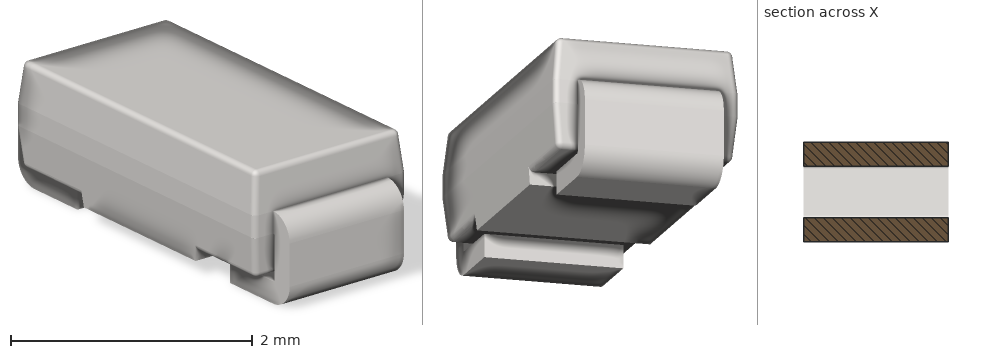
import cadquery as cq
import math

overall_length = 3.64
overall_height = 1.2

housing_length = 3.2
housing_width = 1.598
housing_bottom = 0.25
band_height = 0.2
draft_angle = 6.0
edge_radius = 0.05

pad_length = housing_width
pad_bottom = 0.145

lead_width = 1.2
lead_thickness = band_height
foot_length = 0.797

band_bottom = (overall_height + housing_bottom - band_height) / 2
band_top = band_bottom + band_height
shell_height = overall_height - band_top

bend_outer_radius = (overall_length - housing_length) / 2
bend_inner_radius = bend_outer_radius - lead_thickness

bend_midpoint = math.sqrt(0.5)


def drafted_block(length, width, start_z, height):
    """Block that narrows by the draft angle away from start_z; a negative height goes down."""
    inset = abs(height) * math.tan(math.radians(draft_angle))
    return (
        cq.Workplane("XY", origin=(0, 0, start_z))
        .rect(length, width)
        .workplane(offset=height)
        .rect(length - 2 * inset, width - 2 * inset)
        .loft(ruled=True)
    )


def make_housing():
    """Moulded housing: straight band, drafted shells above and below, and a standoff pad."""
    band = (
        cq.Workplane("XY", origin=(0, 0, band_bottom))
        .rect(housing_length, housing_width)
        .extrude(band_height)
    )
    upper_shell = drafted_block(housing_length, housing_width, band_top, shell_height)
    lower_shell = drafted_block(housing_length, housing_width, band_bottom, -shell_height)
    shells = band.union(upper_shell).union(lower_shell)

    rim_and_corners = shells.edges(">Z or <Z").add(shells.edges("not #Z"))
    rounded = rim_and_corners.fillet(edge_radius)

    pad = drafted_block(pad_length, housing_width, band_bottom, pad_bottom - band_bottom)
    return rounded.union(pad)


def make_lead(side):
    """Folded strip from the housing end down and back under it; side is -1 (left) or +1 (right)."""
    bend_x = housing_length / 2
    upper_bend_z = band_top - bend_outer_radius
    lower_bend_z = bend_outer_radius
    foot_end_x = overall_length / 2 - foot_length
    outer_x = overall_length / 2
    inner_x = outer_x - lead_thickness
    outer_diagonal = bend_outer_radius * bend_midpoint
    inner_diagonal = bend_inner_radius * bend_midpoint

    def at(x, z):
        return (side * x, z)

    return (
        cq.Workplane("XZ")
        .moveTo(*at(bend_x, band_top))
        .threePointArc(at(bend_x + outer_diagonal, upper_bend_z + outer_diagonal), at(outer_x, upper_bend_z))
        .lineTo(*at(outer_x, lower_bend_z))
        .threePointArc(at(bend_x + outer_diagonal, lower_bend_z - outer_diagonal), at(bend_x, 0))
        .lineTo(*at(foot_end_x, 0))
        .lineTo(*at(foot_end_x, lead_thickness))
        .lineTo(*at(bend_x, lead_thickness))
        .threePointArc(at(bend_x + inner_diagonal, lower_bend_z - inner_diagonal), at(inner_x, lower_bend_z))
        .lineTo(*at(inner_x, upper_bend_z))
        .threePointArc(at(bend_x + inner_diagonal, upper_bend_z + inner_diagonal), at(bend_x, band_bottom))
        .close()
        .extrude(lead_width / 2, both=True)
    )


housing = make_housing()
leads = [make_lead(side) for side in (-1, 1)]

result = cq.Compound.makeCompound([housing.val(), *[lead.val() for lead in leads]])